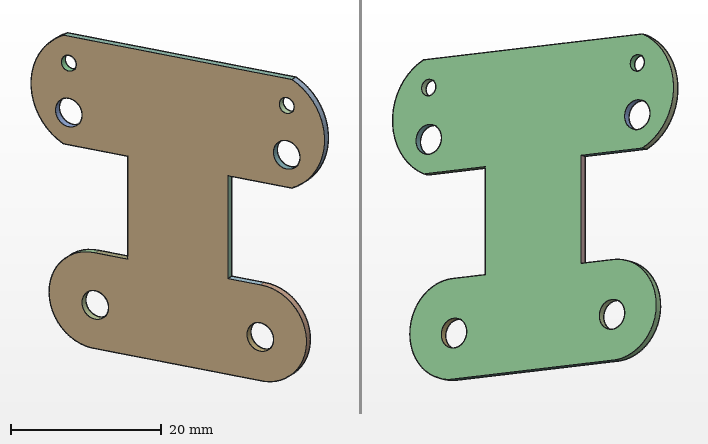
import cadquery as cq

height = 43.5
thickness = 1.1
top_z = height / 2
bottom_z = -height / 2

upper_width = 44.5
upper_height = 15.4
upper_flat_width = 34.6

lower_width = 39.03
lower_height = 13.57
lower_top_flat_width = 25.0
lower_bottom_flat_width = 26.35
lower_bulge_height = 6.75

neck_width = 15.17

large_hole_diameter = 4.0
small_hole_diameter = 2.22
upper_hole_spacing = 33.0
small_hole_drop = 3.83
large_hole_drop = 10.8
lower_hole_spacing = 25.0
lower_hole_rise = 6.2


def plate_outline():
    """Return the closed outline of both bars and the neck."""
    upper_bottom_z = top_z - upper_height
    upper_middle_z = top_z - upper_height / 2
    lower_top_z = bottom_z + lower_height
    lower_bulge_z = bottom_z + lower_bulge_height
    upper_flat = upper_flat_width / 2
    lower_top_flat = lower_top_flat_width / 2
    lower_bottom_flat = lower_bottom_flat_width / 2
    neck = neck_width / 2
    return (
        cq.Workplane("XZ", origin=(0, thickness / 2, 0))
        .moveTo(-upper_flat, top_z)
        .lineTo(upper_flat, top_z)
        .threePointArc((upper_width / 2, upper_middle_z), (upper_flat, upper_bottom_z))
        .lineTo(neck, upper_bottom_z)
        .lineTo(neck, lower_top_z)
        .lineTo(lower_top_flat, lower_top_z)
        .threePointArc((lower_width / 2, lower_bulge_z), (lower_bottom_flat, bottom_z))
        .lineTo(-lower_bottom_flat, bottom_z)
        .threePointArc((-lower_width / 2, lower_bulge_z), (-lower_top_flat, lower_top_z))
        .lineTo(-neck, lower_top_z)
        .lineTo(-neck, upper_bottom_z)
        .lineTo(-upper_flat, upper_bottom_z)
        .threePointArc((-upper_width / 2, upper_middle_z), (-upper_flat, top_z))
        .close()
    )


def hole_pair(spacing, z, diameter):
    """Return a mirrored pair of cylinders that cut through the plate."""
    return (
        cq.Workplane("XZ", origin=(0, thickness / 2, 0))
        .pushPoints([(-spacing / 2, z), (spacing / 2, z)])
        .circle(diameter / 2)
        .extrude(thickness)
    )


result = plate_outline().extrude(thickness)
for spacing, z, diameter in (
    (upper_hole_spacing, top_z - small_hole_drop, small_hole_diameter),
    (upper_hole_spacing, top_z - large_hole_drop, large_hole_diameter),
    (lower_hole_spacing, bottom_z + lower_hole_rise, large_hole_diameter),
):
    result = result.cut(hole_pair(spacing, z, diameter))